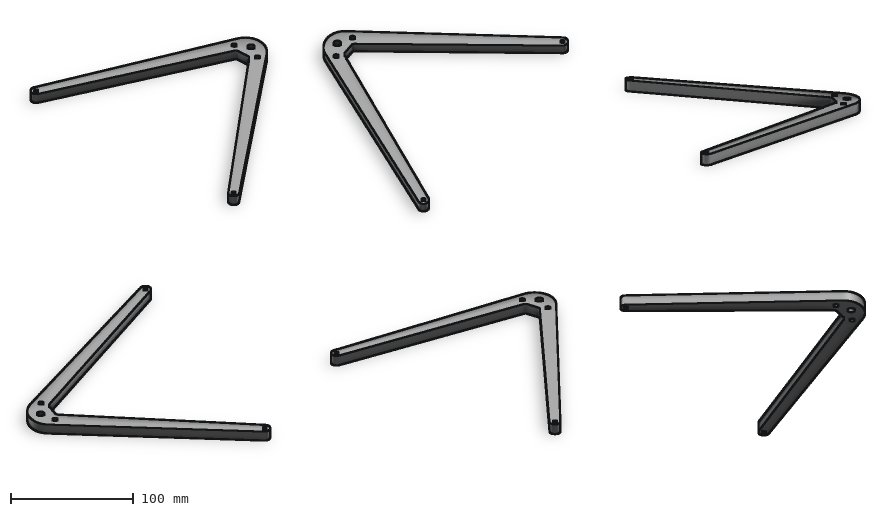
import cadquery as cq
import math

length = 214.5
depth = 166.5
thickness = 9.5

apex_radius = 17.5
tip_radius = 4.5

inner_flat_y = -10.7
inner_corner_x = 6.7
inner_fillet = 3.0

pivot_diameter = 6.0
side_hole_diameter = 4.0
side_hole_x = 12.0
side_hole_y = -6.9
tip_hole_diameter = 3.2

pivot_to_top = 10.0
apex_y = pivot_to_top - apex_radius
tip_x = length / 2 - tip_radius
tip_y = pivot_to_top - depth + tip_radius


def on_circle(x, y, radius, angle):
    return (x + radius * math.cos(angle), y + radius * math.sin(angle))


def mirrored(point):
    return (-point[0], point[1])


center_distance = math.hypot(tip_x, apex_y - tip_y)
center_line = math.atan2(tip_y - apex_y, tip_x)
outer_normal = center_line + math.acos((apex_radius - tip_radius) / center_distance)

corner_distance = math.hypot(tip_x - inner_corner_x, inner_flat_y - tip_y)
tip_to_corner = math.atan2(inner_flat_y - tip_y, inner_corner_x - tip_x)
inner_normal = tip_to_corner + math.acos(tip_radius / corner_distance)

apex_end = on_circle(0, apex_y, apex_radius, outer_normal)
tip_outer = on_circle(tip_x, tip_y, tip_radius, outer_normal)
tip_inner = on_circle(tip_x, tip_y, tip_radius, inner_normal)
tip_middle = on_circle(tip_x, tip_y, tip_radius, (outer_normal + inner_normal) / 2 - math.pi)
inner_corner = (inner_corner_x, inner_flat_y)


def make_body():
    outline = (
        cq.Workplane("XY")
        .moveTo(*mirrored(apex_end))
        .threePointArc((0, pivot_to_top), apex_end)
        .lineTo(*tip_outer)
        .threePointArc(tip_middle, tip_inner)
        .lineTo(*inner_corner)
        .lineTo(*mirrored(inner_corner))
        .lineTo(*mirrored(tip_inner))
        .threePointArc(mirrored(tip_middle), mirrored(tip_outer))
        .close()
    )
    body = outline.extrude(thickness)
    for side in (-1, 1):
        corner = cq.selectors.NearestToPointSelector((side * inner_corner_x, inner_flat_y, thickness / 2))
        body = body.edges("|Z").edges(corner).fillet(inner_fillet)
    return body


def drill(body, points, diameter):
    holes = cq.Workplane("XY").pushPoints(points).circle(diameter / 2).extrude(thickness)
    return body.cut(holes)


side_hole = (side_hole_x, side_hole_y)
tip_hole = (tip_x, tip_y)

result = make_body()
result = drill(result, [(0, 0)], pivot_diameter)
result = drill(result, [side_hole, mirrored(side_hole)], side_hole_diameter)
result = drill(result, [tip_hole, mirrored(tip_hole)], tip_hole_diameter)